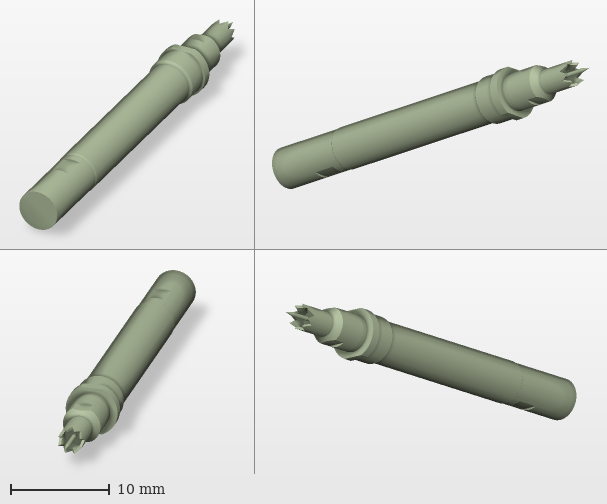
import cadquery as cq
import math

LENGTH = 43.0

TAIL_RADIUS = 4.35 / 2
BODY_RADIUS = 2.25
COLLAR_RADIUS = 2.5
FLANGE_RADIUS = 5.45 / 2
NECK_RADIUS = 3.9 / 2
BARREL_RADIUS = 1.98
PLUNGER_RADIUS = 2.62 / 2
BORE_RADIUS = 1.05
PIN_RADIUS = 0.2

TAIL_END = 8.45
BODY_END = 28.95
COLLAR_END = 31.48
FLANGE_END = 32.45
NECK_END = 32.95
BARREL_END = 36.35
PIN_END = 41.92

BODY_BEVEL = 0.1
COLLAR_BEVEL = COLLAR_RADIUS - BODY_RADIUS
BARREL_BEVEL = 0.17

TOOTH_COUNT = 8
CROWN_END = 41.0
NOTCH_ROOT = 40.0
RIM_BEVEL = PLUNGER_RADIUS - BORE_RADIUS
BORE_FLOOR = NOTCH_ROOT - BORE_RADIUS

FLANGE_FLAT_HEIGHT = COLLAR_RADIUS
BARREL_FLAT_HEIGHT = 1.7
BARREL_FLAT_START = 35.05
TAIL_FLAT_HEIGHT = 3.9 / 2
TAIL_FLAT_START = 4.95
TAIL_FLAT_END = 7.45


def turned_body():
    """Revolve everything behind the pin, including the barrel shoulder and the bore of the crown."""
    shoulder_end = BARREL_END + BARREL_RADIUS - PLUNGER_RADIUS
    outline = [
        (0, 0),
        (TAIL_RADIUS, 0),
        (TAIL_RADIUS, TAIL_END),
        (BODY_RADIUS, TAIL_END + BODY_BEVEL),
        (BODY_RADIUS, BODY_END),
        (COLLAR_RADIUS, BODY_END + COLLAR_BEVEL),
        (COLLAR_RADIUS, COLLAR_END),
        (FLANGE_RADIUS, COLLAR_END),
        (FLANGE_RADIUS, FLANGE_END),
        (NECK_RADIUS, FLANGE_END),
        (NECK_RADIUS, NECK_END),
        (BARREL_RADIUS, NECK_END + BARREL_BEVEL),
        (BARREL_RADIUS, BARREL_END),
        (PLUNGER_RADIUS, shoulder_end),
        (PLUNGER_RADIUS, CROWN_END),
        (BORE_RADIUS, CROWN_END - RIM_BEVEL),
        (BORE_RADIUS, BORE_FLOOR),
        (0, BORE_FLOOR),
    ]
    return cq.Workplane("XY").polyline(outline).close().revolve(360, (0, 0, 0), (0, 1, 0))


def crown_notches():
    """V grooves across the plunger face; neighbouring grooves meet in a point at each tooth."""
    half_pitch = math.pi / TOOTH_COUNT
    overshoot = 2.0
    depth = (CROWN_END - NOTCH_ROOT) * overshoot
    half_width = PLUNGER_RADIUS * math.sin(half_pitch) * overshoot
    groove = (
        cq.Workplane("XY")
        .polyline([(0, NOTCH_ROOT), (half_width, NOTCH_ROOT + depth), (-half_width, NOTCH_ROOT + depth)])
        .close()
        .extrude(overshoot * PLUNGER_RADIUS, both=True)
    )
    grooves = groove
    for index in range(1, TOOTH_COUNT // 2):
        grooves = grooves.union(groove.rotate((0, 0, 0), (0, 1, 0), index * 360 / TOOTH_COUNT))
    return grooves


def centre_pin():
    """Needle standing out of the crown, with a conical tip."""
    root = BORE_FLOOR - PIN_RADIUS
    outline = [(0, root), (PIN_RADIUS, root), (PIN_RADIUS, PIN_END), (0, LENGTH)]
    return cq.Workplane("XY").polyline(outline).close().revolve(360, (0, 0, 0), (0, 1, 0))


def flat_cutters(height, start, end):
    """Blocks removing everything further than height above and below the axis."""
    width = 2 * FLANGE_RADIUS
    block = cq.Workplane("XY").box(width, end - start, width, centered=(True, False, False))
    upper = block.translate((0, start, height))
    return upper.union(upper.mirror("XY"))


probe = turned_body().cut(crown_notches())
probe = probe.cut(flat_cutters(FLANGE_FLAT_HEIGHT, COLLAR_END, FLANGE_END))
probe = probe.cut(flat_cutters(BARREL_FLAT_HEIGHT, BARREL_FLAT_START, CROWN_END))
probe = probe.cut(flat_cutters(TAIL_FLAT_HEIGHT, TAIL_FLAT_START, TAIL_FLAT_END))
result = probe.union(centre_pin())